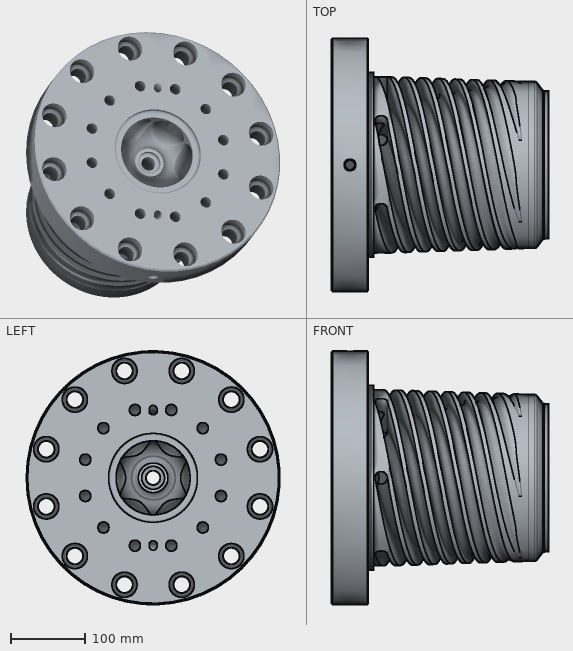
import cadquery as cq
import math

LENGTH = 293.0
FLANGE_RADIUS = 342.5 / 2
FLANGE_THICKNESS = 50.0
FLANGE_CHAMFER = 2.0
COLLAR_RADIUS = 125.0
COLLAR_END = 57.0

SEAT_RADIUS = 119.0
TAPER_START = 77.0
LAND_RADIUS = 112.7
LAND_START = 265.5
LAND_END = 276.0
LAND_FILLET = 4.5
TIP_RADIUS = 100.0
TIP_CHAMFER_END = 285.0
TIP_STEP_X = 287.5
TIP_STEP = 1.0

SPIGOT_RADIUS = 60.0
SPIGOT_DEPTH = 4.4
INLET_RADIUS = 50.0
BOWL_FLOOR_X = 55.5
BOWL_FLOOR_RADIUS = 30.0
BOWL_FILLET = INLET_RADIUS - BOWL_FLOOR_RADIUS
NOSE_TIP_X = 45.5
NOSE_RADIUS = 20.0
NOSE_FILLET = 9.0
CORE_STEP_RADIUS = 15.5
CORE_STEP_DEPTH = 5.0
CORE_RADIUS = 9.5

GROOVE_COUNT = 6
GROOVE_RADIUS = 8.25
GROOVE_START_X = 67.0
GROOVE_END_X = 255.5
GROOVE_TURN = 492.7
GROOVE_START_DEPTH = 52.0
GROOVE_END_DEPTH = 0.1
GROOVE_END_SLOPE = 38.0
GROOVE_TOP_RADIUS = SEAT_RADIUS + 6.0
START_CLEARANCE = 0.1
GROOVE_SECTIONS = 29
ROUND_SPANS = 4

PORT_MOUTH = (34.0, 48.0)
PORT_EXIT = (63.0, 100.0)
PORT_MOUTH_RADIUS = 23.0
PORT_EXIT_RADIUS = 12.0
PORT_LEAD_IN = 0.25

HOLE_COUNT = 12
FIRST_HOLE_ANGLE = 15.0
BOLT_CIRCLE_RADIUS = 149.3
BOLT_RADIUS = 11.0
BOLT_HEAD_RADIUS = 17.0
BOLT_HEAD_DEPTH = 21.0
TAPPED_CIRCLE_RADIUS = 94.8
TAPPED_RADIUS = 7.5
TAPPED_DEPTH = 30.0
DRILL_POINT_ANGLE = 118.0

SLANT_CIRCLE_RADIUS = 91.3
SLANT_RADIUS = 5.5
SLANT_ANGLE = 32.0
SLANT_DEPTH = 40.0
RIM_HOLE_X = 25.0
RIM_HOLE_RADIUS = 6.5
RIM_HOLE_DEPTH = 40.0
RIM_HOLE_CHAMFER = 1.5

OVERCUT = 10.0
X_AXIS = cq.Vector(1, 0, 0)


def turned(points):
    """Revolve an (X, radius) outline about the X axis."""
    return cq.Workplane("XY").polyline(points).close().revolve(360, (0, 0, 0), (1, 0, 0))


def make_blank():
    blank = turned([
        (0, 0),
        (0, FLANGE_RADIUS - FLANGE_CHAMFER),
        (FLANGE_CHAMFER, FLANGE_RADIUS),
        (FLANGE_THICKNESS - FLANGE_CHAMFER, FLANGE_RADIUS),
        (FLANGE_THICKNESS, FLANGE_RADIUS - FLANGE_CHAMFER),
        (FLANGE_THICKNESS, COLLAR_RADIUS),
        (COLLAR_END, COLLAR_RADIUS),
        (COLLAR_END, SEAT_RADIUS),
        (TAPER_START, SEAT_RADIUS),
        (LAND_START, LAND_RADIUS),
        (LAND_END, LAND_RADIUS),
        (TIP_CHAMFER_END, TIP_RADIUS + TIP_STEP),
        (TIP_STEP_X, TIP_RADIUS),
        (LENGTH, TIP_RADIUS),
        (LENGTH, 0),
    ])
    land_rim = cq.selectors.NearestToPointSelector((LAND_END, 0, 0))
    return blank.edges(land_rim).fillet(LAND_FILLET)


def make_inlet():
    """Inlet ending in a rounded bowl, with a nose in its middle and the core hole through the nose."""
    diagonal = math.sqrt(0.5)
    bowl_middle = (
        BOWL_FLOOR_X - BOWL_FILLET * (1 - diagonal),
        BOWL_FLOOR_RADIUS + BOWL_FILLET * diagonal,
    )
    nose_middle = (
        BOWL_FLOOR_X - NOSE_FILLET * (1 - diagonal),
        NOSE_RADIUS + NOSE_FILLET * (1 - diagonal),
    )
    outline = (
        cq.Workplane("XY")
        .moveTo(-OVERCUT, 0)
        .lineTo(-OVERCUT, SPIGOT_RADIUS)
        .lineTo(SPIGOT_DEPTH, SPIGOT_RADIUS)
        .lineTo(SPIGOT_DEPTH, INLET_RADIUS)
        .lineTo(BOWL_FLOOR_X - BOWL_FILLET, INLET_RADIUS)
        .threePointArc(bowl_middle, (BOWL_FLOOR_X, BOWL_FLOOR_RADIUS))
        .lineTo(BOWL_FLOOR_X, NOSE_RADIUS + NOSE_FILLET)
        .threePointArc(nose_middle, (BOWL_FLOOR_X - NOSE_FILLET, NOSE_RADIUS))
        .lineTo(NOSE_TIP_X, NOSE_RADIUS)
        .lineTo(NOSE_TIP_X, CORE_STEP_RADIUS)
        .lineTo(NOSE_TIP_X + CORE_STEP_DEPTH, CORE_STEP_RADIUS)
        .lineTo(NOSE_TIP_X + CORE_STEP_DEPTH, CORE_RADIUS)
        .lineTo(LENGTH + OVERCUT, CORE_RADIUS)
        .lineTo(LENGTH + OVERCUT, 0)
        .close()
    )
    return outline.revolve(360, (0, 0, 0), (1, 0, 0))


def body_radius(x):
    """Outer radius of the mandrel at X along its seat and taper."""
    fraction = max(0.0, (x - TAPER_START) / (LAND_START - TAPER_START))
    return SEAT_RADIUS - fraction * (SEAT_RADIUS - LAND_RADIUS)


def groove_section(fraction):
    """U-shaped groove section in a plane through the axis, at a fraction of the groove length."""
    x = GROOVE_START_X + fraction * (GROOVE_END_X - GROOVE_START_X)
    to_go = 1 - fraction
    curvature = GROOVE_START_DEPTH - GROOVE_END_DEPTH - GROOVE_END_SLOPE
    depth = GROOVE_END_DEPTH + GROOVE_END_SLOPE * to_go + curvature * to_go**2
    bottom = body_radius(x) - depth
    turn = math.radians(GROOVE_TURN * fraction)
    outward = cq.Vector(0, -math.cos(turn), -math.sin(turn))

    def at(offset, radius):
        return X_AXIS * (x + offset) + outward * radius

    round_angles = [math.pi * (1 + i / ROUND_SPANS) for i in range(ROUND_SPANS + 1)]
    round_points = [
        at(GROOVE_RADIUS * math.cos(angle), bottom + GROOVE_RADIUS * (1 + math.sin(angle)))
        for angle in round_angles
    ]
    left_foot, right_foot = round_points[0], round_points[-1]
    left_top = at(-GROOVE_RADIUS, GROOVE_TOP_RADIUS)
    right_top = at(GROOVE_RADIUS, GROOVE_TOP_RADIUS)
    return cq.Wire.assembleEdges([
        cq.Edge.makeLine(left_top, left_foot),
        cq.Edge.makeSpline(round_points, tangents=[outward * -1, outward]),
        cq.Edge.makeLine(right_foot, right_top),
        cq.Edge.makeLine(right_top, left_top),
    ])


def make_groove():
    sections = [groove_section(i / (GROOVE_SECTIONS - 1)) for i in range(GROOVE_SECTIONS)]
    return cq.Solid.makeLoft(sections)


def make_groove_start():
    """Round end of the groove, sunk radially to the groove's deepest point."""
    bottom = SEAT_RADIUS - GROOVE_START_DEPTH - START_CLEARANCE
    foot = cq.Vector(GROOVE_START_X, -bottom, 0)
    return cq.Solid.makeCylinder(
        GROOVE_RADIUS + START_CLEARANCE, GROOVE_TOP_RADIUS - bottom, foot, cq.Vector(0, -1, 0)
    )


def make_port():
    mouth = cq.Vector(PORT_MOUTH[0], -PORT_MOUTH[1], 0)
    run = cq.Vector(PORT_EXIT[0], -PORT_EXIT[1], 0) - mouth
    start_radius = PORT_MOUTH_RADIUS + PORT_LEAD_IN * (PORT_MOUTH_RADIUS - PORT_EXIT_RADIUS)
    return cq.Solid.makeCone(
        start_radius, PORT_EXIT_RADIUS, run.Length * (1 + PORT_LEAD_IN), mouth - run * PORT_LEAD_IN, run
    )


def around_axis(solid, count, first_angle=0.0):
    """Copies of a solid equally spaced about the X axis."""
    return [
        solid.rotate(cq.Vector(), X_AXIS, first_angle + i * 360 / count)
        for i in range(count)
    ]


def make_bolt_hole():
    center = cq.Vector(0, BOLT_CIRCLE_RADIUS, 0)
    head = cq.Solid.makeCylinder(BOLT_HEAD_RADIUS, BOLT_HEAD_DEPTH, center, X_AXIS)
    shank = cq.Solid.makeCylinder(BOLT_RADIUS, FLANGE_THICKNESS, center, X_AXIS)
    return head.fuse(shank)


def make_tapped_hole():
    center = cq.Vector(0, TAPPED_CIRCLE_RADIUS, 0)
    point_length = TAPPED_RADIUS / math.tan(math.radians(DRILL_POINT_ANGLE / 2))
    drill = cq.Solid.makeCylinder(TAPPED_RADIUS, TAPPED_DEPTH, center, X_AXIS)
    point = cq.Solid.makeCone(TAPPED_RADIUS, 0, point_length, center + X_AXIS * TAPPED_DEPTH, X_AXIS)
    return drill.fuse(point)


def make_slant_hole():
    """Hole that leans toward the axis as it goes in."""
    slant = math.radians(SLANT_ANGLE)
    direction = cq.Vector(math.cos(slant), 0, -math.sin(slant))
    start = cq.Vector(0, 0, SLANT_CIRCLE_RADIUS) - direction * OVERCUT
    return cq.Solid.makeCylinder(SLANT_RADIUS, SLANT_DEPTH + OVERCUT, start, direction)


def make_rim_hole():
    inward = cq.Vector(0, 0, -1)
    rim = cq.Vector(RIM_HOLE_X, 0, FLANGE_RADIUS)
    drill = cq.Solid.makeCylinder(RIM_HOLE_RADIUS, RIM_HOLE_DEPTH, rim, inward)
    mouth = cq.Solid.makeCone(RIM_HOLE_RADIUS + RIM_HOLE_CHAMFER, RIM_HOLE_RADIUS, RIM_HOLE_CHAMFER, rim, inward)
    return drill.fuse(mouth)


starts = cq.Compound.makeCompound(around_axis(make_groove_start(), GROOVE_COUNT))
grooves = cq.Compound.makeCompound(around_axis(make_groove(), GROOVE_COUNT))
flange_holes = cq.Compound.makeCompound(
    around_axis(make_bolt_hole(), HOLE_COUNT, FIRST_HOLE_ANGLE)
    + around_axis(make_tapped_hole(), HOLE_COUNT, FIRST_HOLE_ANGLE)
    + around_axis(make_slant_hole(), 2)
    + around_axis(make_rim_hole(), 2)
)

inlet = make_inlet()
for port in around_axis(make_port(), GROOVE_COUNT):
    inlet = inlet.union(cq.Workplane(port))

result = make_blank()
for cutter in (grooves, starts, inlet.val(), flange_holes):
    result = result.cut(cq.Workplane(cutter))